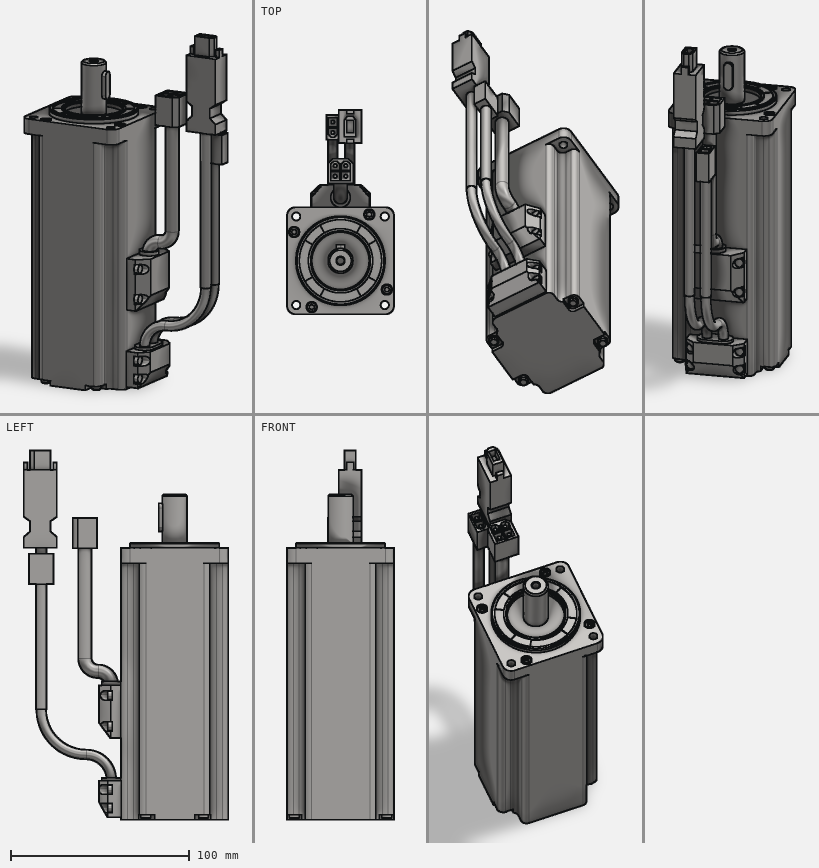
import cadquery as cq
import math


WIDTH = 60.0
HALF = WIDTH / 2
FLANGE_TOP = 152.0
FLANGE_THICKNESS = 8.7
FLANGE_CORNER_RADIUS = 5.0
BODY_TOP = FLANGE_TOP - FLANGE_THICKNESS
CORNER_NOTCH = 10.25
NOTCH_RADIUS = 3.5

MOUNT_HOLE_DIAMETER = 4.5
MOUNT_CIRCLE_DIAMETER = 70.0
SCREW_FAR = 25.9
SCREW_NEAR = 16.1
SCREW_RECESS_DIAMETER = 6.0
SCREW_RECESS_DEPTH = 3.0
SCREW_HEAD_DIAMETER = 5.0
SCREW_HEAD_HEIGHT = 2.3
SCREW_SOCKET_SIZE = 3.0
SCREW_SOCKET_DEPTH = 1.5

PILOT_DIAMETER = 50.0
PILOT_HEIGHT = 3.0
PILOT_TOP = FLANGE_TOP + PILOT_HEIGHT
PILOT_CHAMFER = 0.7
GROOVE_OUTER_DIAMETER = 46.0
GROOVE_INNER_DIAMETER = 36.0
GROOVE_DEPTH = 0.8
GROOVE_PAD_DEPTH = 0.3
GROOVE_PAD_ANGLE = 30.0
BORE_DIAMETER = 32.0
BORE_LIP_DIAMETER = 33.5
BORE_LIP_DEPTH = 0.75

SHAFT_DIAMETER = 14.0
SHAFT_LENGTH = 30.0
SHAFT_TOP = FLANGE_TOP + SHAFT_LENGTH
SHAFT_CHAMFER = 1.0
CENTRE_HOLE_DIAMETER = 4.13
CENTRE_HOLE_MOUTH_DIAMETER = 4.9
CENTRE_HOLE_MOUTH_ANGLE = 90.0
CENTRE_HOLE_DEPTH = 12.5
KEY_WIDTH = 5.0
KEY_TOP_Y = 9.0
KEY_BASE_Y = 4.0
KEY_LENGTH = 16.0
KEY_END_GAP = 5.0
KEY_END_RADIUS = 2.45

REAR_POCKET_HEIGHT = 2.8
REAR_POCKET_X = 21.7
REAR_POCKET_Y = 11.2
REAR_POCKET_RADIUS = 2.5
REAR_HEAD_DIAMETER = 5.5
REAR_HEAD_BOTTOM = 0.25
REAR_HEAD_CHAMFER = 0.8

OUTLET_ROOT_Y = HALF - 1.0
OUTLET_FRONT_Y = 42.4
OUTLET_SCREW_SEAT_Y = 34.8
OUTLET_SLOT_WIDTH = 5.5
OUTLET_SCREW_HEAD_DIAMETER = 5.0
OUTLET_SCREW_HEAD_HEIGHT = 2.6
COLLAR_DIAMETER = 10.98
CABLE_EXIT_Y = 35.4

POWER_OUTLET_BOTTOM = 45.7
POWER_OUTLET_TOP = 75.2
POWER_COLLAR_HEIGHT = 2.2
SIGNAL_OUTLET_BOTTOM = 1.4
SIGNAL_OUTLET_TOP = 21.9
SIGNAL_COLLAR_HEIGHT = 1.5

POWER_CABLE_DIAMETER = 7.6
POWER_CABLE_START = 75.6
POWER_BEND_RADIUS = 7.4
POWER_CABLE_Y = CABLE_EXIT_Y + 2 * POWER_BEND_RADIUS
SIGNAL_CABLE_DIAMETER = 6.0
SIGNAL_BEND_DIAMETER = 5.5
SIGNAL_CABLE_START = 22.5
SIGNAL_LOWER_BEND = 14.0
SIGNAL_UPPER_BEND = 25.2
SIGNAL_CABLE_Y = CABLE_EXIT_Y + SIGNAL_LOWER_BEND + SIGNAL_UPPER_BEND
BRAKE_CABLE_X = -4.3
ENCODER_CABLE_X = 5.2
ENCODER_PLUG_X = 5.4

PLUG_DEPTH_Y = 13.8
PLUG_HEIGHT = 17.0
POWER_PLUG_WIDTH = 14.2
POWER_PLUG_BOTTOM = 151.8
POWER_PLUG_CHAMFER = 2.8
BRAKE_PLUG_WIDTH = 7.2
BRAKE_PLUG_BOTTOM = 131.8
CELL_PITCH = 5.9
CELL_SIZE = 5.0
CELL_CHAMFER = 1.5
CELL_DEPTH = 8.0
PIN_DIAMETER = 2.0
PIN_BELOW_TOP = 1.0

ENCODER_WIDTH_X = 12.8
ENCODER_WIDTH_Y = 18.6
ENCODER_BACK_Y = 84.4
ENCODER_Y = ENCODER_BACK_Y - ENCODER_WIDTH_Y / 2
ENCODER_BOTTOM = 152.0
ENCODER_TOP = 195.7
WAIST_DEPTH = 3.5
WAIST_OUTER_BOTTOM = 158.1
WAIST_INNER_BOTTOM = 161.2
WAIST_INNER_TOP = 166.9
WAIST_OUTER_TOP = 169.4
TONGUE_TOP = 206.5
TONGUE_WIDTH_X = 6.4
TONGUE_WIDTH_Y = 11.6
TONGUE_CHAMFER_X = 1.7
TONGUE_CHAMFER_Y = 2.3
SOCKET_WIDTH_X = 3.9
SOCKET_WIDTH_Y = 7.0
SOCKET_DEPTH = 6.0
TAB_WIDTH_X = 4.0
TAB_WIDTH_Y = 2.2
TAB_TOP = 199.9


def box(x_range, y_range, z_range):
    """Axis-aligned box from its three (low, high) ranges."""
    (x0, x1), (y0, y1), (z0, z1) = x_range, y_range, z_range
    return cq.Workplane().box(x1 - x0, y1 - y0, z1 - z0, centered=False).translate((x0, y0, z0))


def centred(middle, size):
    """(low, high) range of a length about its middle."""
    return middle - size / 2, middle + size / 2


def cylinder(diameter, bottom, top, x=0.0, y=0.0):
    """Upright cylinder between two heights."""
    return cq.Workplane().circle(diameter / 2).extrude(top - bottom).translate((x, y, bottom))


def y_cylinder(diameter, x, y_range, z):
    """Cylinder lying along Y."""
    plane = cq.Workplane("XZ", origin=(x, y_range[0], z))
    return plane.circle(diameter / 2).extrude(y_range[0] - y_range[1])


def make_body():
    """Square extrusion with a rounded notch along each vertical corner."""
    square = box((-HALF, HALF), (-HALF, HALF), (0, BODY_TOP))
    for sx in (-1, 1):
        for sy in (-1, 1):
            notch_centre = HALF - CORNER_NOTCH / 2
            notch = cq.Workplane().rect(CORNER_NOTCH, CORNER_NOTCH).extrude(BODY_TOP)
            square = square.cut(notch.translate((sx * notch_centre, sy * notch_centre, 0)))
    return square.edges("|Z").fillet(NOTCH_RADIUS)


def make_flange():
    """Mounting flange with four through holes."""
    flange = box((-HALF, HALF), (-HALF, HALF), (BODY_TOP, FLANGE_TOP))
    flange = flange.edges("|Z").fillet(FLANGE_CORNER_RADIUS)
    hole_pitch = MOUNT_CIRCLE_DIAMETER / math.sqrt(2)
    holes = cq.Workplane().rect(hole_pitch, hole_pitch, forConstruction=True).vertices()
    holes = holes.circle(MOUNT_HOLE_DIAMETER / 2).extrude(FLANGE_THICKNESS)
    return flange.cut(holes.translate((0, 0, BODY_TOP)))


def add_flange_screws(part):
    """Four recessed socket screws in the flange, turned about the shaft in quarter turns."""
    seat = FLANGE_TOP - SCREW_RECESS_DEPTH
    head_top = seat + SCREW_HEAD_HEIGHT
    recess = cylinder(SCREW_RECESS_DIAMETER, seat, FLANGE_TOP)
    head = cylinder(SCREW_HEAD_DIAMETER, seat, head_top)
    head = head.faces(">Z").workplane().polygon(6, SCREW_SOCKET_SIZE).cutBlind(-SCREW_SOCKET_DEPTH)
    for turn in range(4):
        place = (SCREW_FAR, -SCREW_NEAR, 0)
        axis_start, axis_end = (0, 0, 0), (0, 0, 1)
        part = part.cut(recess.translate(place).rotate(axis_start, axis_end, 90 * turn))
        part = part.union(head.translate(place).rotate(axis_start, axis_end, 90 * turn))
    return part


def make_pilot():
    """Locating ring with a shallow face groove broken by four pads, and a stepped bore."""
    pilot = cylinder(PILOT_DIAMETER, FLANGE_TOP, PILOT_TOP).faces(">Z").edges().chamfer(PILOT_CHAMFER)
    groove_floor = PILOT_TOP - GROOVE_DEPTH
    groove = cylinder(GROOVE_OUTER_DIAMETER, groove_floor, PILOT_TOP)
    groove = groove.cut(cylinder(GROOVE_INNER_DIAMETER, groove_floor, PILOT_TOP))
    pad_height = GROOVE_DEPTH - GROOVE_PAD_DEPTH
    half_pad = math.radians(GROOVE_PAD_ANGLE / 2)
    pad_half_width = PILOT_DIAMETER * math.tan(half_pad)
    pad = cq.Workplane().polyline(
        [(0, 0), (PILOT_DIAMETER, pad_half_width), (PILOT_DIAMETER, -pad_half_width)]
    ).close().extrude(pad_height).translate((0, 0, groove_floor))
    for turn in range(4):
        groove = groove.cut(pad.rotate((0, 0, 0), (0, 0, 1), 45 + 90 * turn))
    bore = cylinder(BORE_DIAMETER, FLANGE_TOP, PILOT_TOP)
    lip = cylinder(BORE_LIP_DIAMETER, PILOT_TOP - BORE_LIP_DEPTH, PILOT_TOP)
    return pilot.cut(groove).cut(bore).cut(lip)


def make_shaft():
    """Shaft with a countersunk centre hole and a round-ended key on the +Y side."""
    shaft = cylinder(SHAFT_DIAMETER, BODY_TOP, SHAFT_TOP).faces(">Z").edges().chamfer(SHAFT_CHAMFER)
    key_top = SHAFT_TOP - KEY_END_GAP
    key = box(centred(0, KEY_WIDTH), (KEY_BASE_Y, KEY_TOP_Y), (key_top - KEY_LENGTH, key_top))
    key = key.edges("|Y").fillet(KEY_END_RADIUS)
    shaft = shaft.faces(">Z").workplane().cskHole(
        CENTRE_HOLE_DIAMETER, CENTRE_HOLE_MOUTH_DIAMETER, CENTRE_HOLE_MOUTH_ANGLE, CENTRE_HOLE_DEPTH
    )
    return shaft.union(key)


def add_rear_screws(part):
    """Open corner pockets in the bottom, each with a chamfered screw head hanging in it."""
    pocket = box((REAR_POCKET_X, HALF), (REAR_POCKET_Y, HALF), (0, REAR_POCKET_HEIGHT))
    pocket = pocket.edges("|Z and <X and <Y").fillet(REAR_POCKET_RADIUS)
    head = cylinder(REAR_HEAD_DIAMETER, REAR_HEAD_BOTTOM, REAR_POCKET_HEIGHT, SCREW_FAR, SCREW_NEAR)
    head = head.faces("<Z").edges().chamfer(REAR_HEAD_CHAMFER)
    for side_pocket, side_head in ((pocket, head), (pocket.mirror("YZ"), head.mirror("YZ"))):
        part = part.cut(side_pocket).cut(side_pocket.mirror("XZ"))
        part = part.union(side_head).union(side_head.mirror("XZ"))
    return part


def make_outlet(bottom, top, half_width, chamfer_y, front_half_width, slope_y, slope_z, screw_x, screw_zs):
    """Cable outlet block: chamfered sides, sloped lower front and four screws in slots open to the sides."""
    outline = [
        (-half_width, OUTLET_ROOT_Y),
        (half_width, OUTLET_ROOT_Y),
        (half_width, chamfer_y),
        (front_half_width, OUTLET_FRONT_Y),
        (-front_half_width, OUTLET_FRONT_Y),
        (-half_width, chamfer_y),
    ]
    block = cq.Workplane().polyline(outline).close().extrude(top - bottom).translate((0, 0, bottom))
    slope = cq.Workplane("YZ").polyline(
        [(slope_y, bottom), (OUTLET_FRONT_Y, slope_z), (OUTLET_FRONT_Y, bottom)]
    ).close().extrude(half_width, both=True)
    block = block.cut(slope)
    slot_y = (OUTLET_SCREW_SEAT_Y, OUTLET_FRONT_Y)
    head_y = (OUTLET_SCREW_SEAT_Y, OUTLET_SCREW_SEAT_Y + OUTLET_SCREW_HEAD_HEIGHT)
    for z in screw_zs:
        slot = y_cylinder(OUTLET_SLOT_WIDTH, screw_x, slot_y, z)
        slot = slot.union(box((screw_x, half_width), slot_y, centred(z, OUTLET_SLOT_WIDTH)))
        head = y_cylinder(OUTLET_SCREW_HEAD_DIAMETER, screw_x, head_y, z)
        block = block.cut(slot).cut(slot.mirror("YZ"))
        block = block.union(head).union(head.mirror("YZ"))
    return block


def make_power_outlet():
    """Outlet block of the power cable with a round collar."""
    outlet = make_outlet(
        POWER_OUTLET_BOTTOM, POWER_OUTLET_TOP,
        half_width=16.2, chamfer_y=35.6, front_half_width=10.4,
        slope_y=36.0, slope_z=54.3, screw_x=13.9, screw_zs=(52.2, 69.5),
    )
    collar_top = POWER_OUTLET_TOP + POWER_COLLAR_HEIGHT
    return outlet.union(cylinder(COLLAR_DIAMETER, POWER_OUTLET_TOP, collar_top, 0, CABLE_EXIT_Y))


def make_signal_outlet():
    """Outlet block of the two signal cables with one long collar around both."""
    outlet = make_outlet(
        SIGNAL_OUTLET_BOTTOM, SIGNAL_OUTLET_TOP,
        half_width=16.7, chamfer_y=37.5, front_half_width=11.4,
        slope_y=37.6, slope_z=10.0, screw_x=14.1, screw_zs=(6.6, 16.9),
    )
    spacing = ENCODER_CABLE_X - BRAKE_CABLE_X
    middle = (ENCODER_CABLE_X + BRAKE_CABLE_X) / 2
    collar = cq.Workplane().slot2D(spacing + COLLAR_DIAMETER, COLLAR_DIAMETER).extrude(SIGNAL_COLLAR_HEIGHT)
    return outlet.union(collar.translate((middle, CABLE_EXIT_Y, SIGNAL_OUTLET_TOP)))


def make_cable(x, start_z, lower_bend, upper_bend, bend_diameter, diameter, top):
    """Cable rising from an outlet, swinging out to +Y in an S of two quarter bends, then straight up."""
    diagonal = math.sqrt(0.5)
    middle = (CABLE_EXIT_Y + lower_bend, start_z + lower_bend)
    end = (middle[0] + upper_bend, middle[1] + upper_bend)
    lower_mid = (middle[0] - lower_bend * diagonal, start_z + lower_bend * diagonal)
    upper_mid = (middle[0] + upper_bend * diagonal, end[1] - upper_bend * diagonal)
    path = cq.Workplane("YZ", origin=(x, 0, 0)).moveTo(CABLE_EXIT_Y, start_z)
    path = path.threePointArc(lower_mid, middle).threePointArc(upper_mid, end)
    section = cq.Workplane("XY", origin=(x, CABLE_EXIT_Y, start_z)).circle(bend_diameter / 2)
    return section.sweep(path).union(cylinder(diameter, end[1], top, x, end[0]))


def make_pin_plug(x, y, width, bottom, columns, corner_chamfer, chamfered_row):
    """Rectangular plug with two rows of pin cells; one row has its outer cell corners cut off."""
    top = bottom + PLUG_HEIGHT
    plug = box(centred(x, width), centred(y, PLUG_DEPTH_Y), (bottom, top))
    if corner_chamfer:
        plug = plug.edges("|Z and >Y").chamfer(corner_chamfer)
    for column in columns:
        for row in (-1, 1):
            cell_x = x + column * CELL_PITCH
            cell_y = y + row * CELL_PITCH / 2
            floor = top - CELL_DEPTH
            cell = box(centred(cell_x, CELL_SIZE), centred(cell_y, CELL_SIZE), (floor, top))
            if row == chamfered_row:
                cell = cell.edges("|Z and >Y" if row > 0 else "|Z and <Y").chamfer(CELL_CHAMFER)
            plug = plug.cut(cell).union(cylinder(PIN_DIAMETER, floor, top - PIN_BELOW_TOP, cell_x, cell_y))
    return plug


def make_encoder_plug():
    """Encoder connector: waisted shell, hollow tongue and two side tabs."""
    half = ENCODER_WIDTH_Y / 2
    waist = half - WAIST_DEPTH
    right_side = [
        (half, ENCODER_BOTTOM),
        (half, WAIST_OUTER_BOTTOM),
        (waist, WAIST_INNER_BOTTOM),
        (waist, WAIST_INNER_TOP),
        (half, WAIST_OUTER_TOP),
        (half, ENCODER_TOP),
    ]
    left_side = [(-y, z) for y, z in reversed(right_side)]
    centre = (ENCODER_PLUG_X, ENCODER_Y, 0)
    shell = cq.Workplane("YZ").polyline(right_side + left_side).close()
    shell = shell.extrude(ENCODER_WIDTH_X / 2, both=True)
    tongue = box(centred(0, TONGUE_WIDTH_X), centred(0, TONGUE_WIDTH_Y), (ENCODER_TOP, TONGUE_TOP))
    corner_y = TONGUE_WIDTH_Y / 2
    for side in (-1, 1):
        corner_x = side * TONGUE_WIDTH_X / 2
        corner = cq.Workplane().polyline([
            (corner_x, corner_y),
            (corner_x - side * TONGUE_CHAMFER_X, corner_y),
            (corner_x, corner_y - TONGUE_CHAMFER_Y),
        ]).close().extrude(TONGUE_TOP)
        tongue = tongue.cut(corner)
    socket = box(
        centred(0, SOCKET_WIDTH_X), centred(0, SOCKET_WIDTH_Y), (TONGUE_TOP - SOCKET_DEPTH, TONGUE_TOP)
    )
    plug = shell.union(tongue.cut(socket))
    for tab_y in ((-half, TAB_WIDTH_Y - half), (half - TAB_WIDTH_Y, half)):
        plug = plug.union(box(centred(0, TAB_WIDTH_X), tab_y, (ENCODER_TOP, TAB_TOP)))
    return plug.translate(centre)


motor = make_body().union(make_flange())
motor = add_flange_screws(motor)
motor = motor.union(make_pilot()).union(make_shaft())
motor = add_rear_screws(motor)
motor = motor.union(make_power_outlet()).union(make_signal_outlet())

power_cable = make_cable(
    0, POWER_CABLE_START, POWER_BEND_RADIUS, POWER_BEND_RADIUS,
    POWER_CABLE_DIAMETER, POWER_CABLE_DIAMETER, POWER_PLUG_BOTTOM,
)
brake_cable, encoder_cable = [
    make_cable(
        x, SIGNAL_CABLE_START, SIGNAL_LOWER_BEND, SIGNAL_UPPER_BEND,
        SIGNAL_BEND_DIAMETER, SIGNAL_CABLE_DIAMETER, top,
    )
    for x, top in ((BRAKE_CABLE_X, BRAKE_PLUG_BOTTOM), (ENCODER_CABLE_X, ENCODER_BOTTOM))
]
power_plug = make_pin_plug(
    0, POWER_CABLE_Y, POWER_PLUG_WIDTH, POWER_PLUG_BOTTOM,
    columns=(-0.5, 0.5), corner_chamfer=POWER_PLUG_CHAMFER, chamfered_row=1,
)
brake_plug = make_pin_plug(
    BRAKE_CABLE_X, SIGNAL_CABLE_Y, BRAKE_PLUG_WIDTH, BRAKE_PLUG_BOTTOM,
    columns=(0,), corner_chamfer=0, chamfered_row=-1,
)

result = motor.union(power_cable).union(power_plug)
result = result.union(brake_cable).union(brake_plug)
result = result.union(encoder_cable).union(make_encoder_plug())